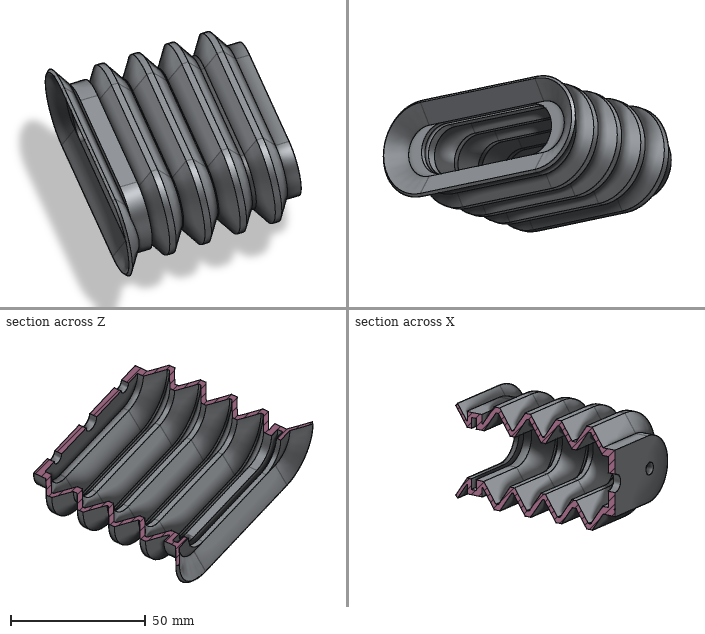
import cadquery as cq


width = 92
length = 72.5
height = 40.4
body_half_straight = 21.25
flank_slope = 1.45

fold_count = 4
fold_pitch = 14.0
first_fold_y = 18.9
ridge_radius = height / 2
ridge_width = 2.6
valley_radius = 12.2
rear_neck_radius = 13.1

collar_radius = 16.2
collar_front_y = 5.2

lip_edge_radius = 18.6
lip_edge_y = 1.0
lip_mouth_radius = 17.6
lip_half_straight = width / 2 - lip_edge_radius

bore_radius = 9.8
inner_ridge_radius = 17.8
inner_ridge_width = 0.9
groove_radius = 14.0
groove_front_y = 7.3
groove_back_y = 9.4
end_wall = rear_neck_radius - bore_radius

center_hole_diameter = 7.0
side_hole_diameter = 4.8
side_hole_x = 22.5


def oval_solid(profile, half_straight):
    """Sweep a (Y, radius) profile round a stadium with the given half straight length."""
    first_y = profile[0][0]
    last_y = profile[-1][0]
    half_section = [(first_y, 0)] + profile + [(last_y, 0)]
    full_section = profile + [(y, -radius) for y, radius in reversed(profile)]

    middle = cq.Workplane("YZ").polyline(full_section).close().extrude(half_straight, both=True)
    right_end = (
        cq.Workplane("YZ", origin=(half_straight, 0, 0))
        .polyline(half_section).close()
        .revolve(180, (0, 0), (1, 0))
    )
    left_end = right_end.mirror("YZ")
    return middle.union(right_end).union(left_end)


def fold_points(center_y, peak_radius, peak_width, front_radius, back_radius):
    """Four profile points of one fold: front root, two peak corners, back root."""
    half_peak = peak_width / 2
    front_run = (peak_radius - front_radius) / flank_slope
    back_run = (peak_radius - back_radius) / flank_slope
    return [
        (center_y - half_peak - front_run, front_radius),
        (center_y - half_peak, peak_radius),
        (center_y + half_peak, peak_radius),
        (center_y + half_peak + back_run, back_radius),
    ]


fold_centers = [first_fold_y + i * fold_pitch for i in range(fold_count)]


def outer_body():
    """Collar, four folds and mounting neck as one solid."""
    roots = [valley_radius] * (fold_count - 1) + [rear_neck_radius] * 2
    folds = []
    for i, center_y in enumerate(fold_centers):
        folds += fold_points(center_y, ridge_radius, ridge_width, roots[i], roots[i + 1])
    collar_back_y = folds[0][0]
    collar = [(collar_front_y, collar_radius), (collar_back_y, collar_radius)]
    return oval_solid(collar + folds + [(length, rear_neck_radius)], body_half_straight)


def lip():
    """Flared lip, its cone running back until it is buried in the collar."""
    cone_root_y = lip_edge_y + (lip_edge_radius - bore_radius) / flank_slope
    profile = [(0, lip_mouth_radius), (lip_edge_y, lip_edge_radius), (cone_root_y, bore_radius)]
    return oval_solid(profile, lip_half_straight)


def mouth():
    """Conical recess of the lip, ending on a flat floor level with the collar front."""
    return oval_solid([(0, lip_mouth_radius), (collar_front_y, bore_radius)], lip_half_straight)


def cavity():
    """Bore with a groove inside the collar and a hollow inside each fold."""
    profile = [
        (collar_front_y, bore_radius),
        (groove_front_y, bore_radius),
        (groove_front_y, groove_radius),
        (groove_back_y, groove_radius),
        (groove_back_y, bore_radius),
    ]
    for center_y in fold_centers:
        profile += fold_points(center_y, inner_ridge_radius, inner_ridge_width, bore_radius, bore_radius)
    profile.append((length - end_wall, bore_radius))
    return oval_solid(profile, body_half_straight)


def mounting_hole(x, diameter):
    """Round hole along Y through the end wall, running on into the cavity behind it."""
    return (
        cq.Workplane("XZ", origin=(x, length, 0))
        .circle(diameter / 2)
        .extrude(2 * end_wall)
    )


result = outer_body().union(lip()).cut(mouth()).cut(cavity())
result = result.cut(mounting_hole(0, center_hole_diameter))
for hole_x in (-side_hole_x, side_hole_x):
    result = result.cut(mounting_hole(hole_x, side_hole_diameter))